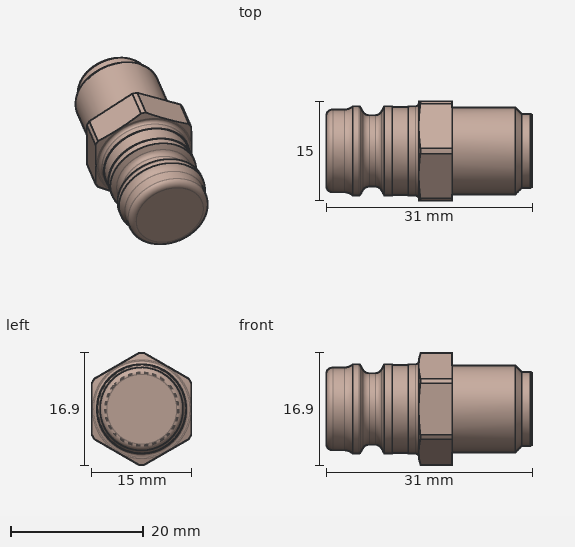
import cadquery as cq
import math

length = 31.0
nose_end = 2.73
groove_floor_start = 6.48
groove_floor_end = 7.38
relief_start = 9.98
relief_end = 12.4
hex_start = 13.95
hex_end = 18.97
tail_start = 29.45

nose_radius = 12.5 / 2
collar_radius = 13.5 / 2
groove_radius = 10.8 / 2
relief_radius = 13.3 / 2
body_radius = 13.15 / 2
tail_radius = 11.2 / 2

nose_round = 1.0
nose_blend = 2.0
collar_round = 0.3
groove_round = 1.1
groove_wall_angle = math.radians(60)
hex_root_round = 0.5
tail_chamfer_length = 0.28
tail_chamfer_depth = 0.15

across_flats = 15.0
across_corners = 16.9
hex_face_radius = 7.45
hex_chamfer_angle = math.radians(15)


def arc_point(center, radius, angle):
    """Point on a circle in the (axial, radial) plane."""
    return center[0] + radius * math.cos(angle), center[1] + radius * math.sin(angle)


def revolve_profile(profile):
    return profile.close().revolve(360, (0, 0, 0), (1, 0, 0))


def make_turned_body():
    """Revolved plug with its nose, retaining groove, collar and tail."""
    nose_center = (nose_round, nose_radius - nose_round)

    blend_center = (nose_end, nose_radius + nose_blend)
    blend_angle = math.acos((blend_center[1] - collar_radius) / nose_blend)
    down = -math.pi / 2
    blend_mid = arc_point(blend_center, nose_blend, down + blend_angle / 2)
    blend_end = arc_point(blend_center, nose_blend, down + blend_angle)

    left_center = (groove_floor_start, groove_radius + groove_round)
    right_center = (groove_floor_end, groove_radius + groove_round)
    left_wall_foot = arc_point(left_center, groove_round, down - groove_wall_angle)
    left_round_mid = arc_point(left_center, groove_round, down - groove_wall_angle / 2)
    right_round_mid = arc_point(right_center, groove_round, down + groove_wall_angle / 2)
    right_wall_foot = arc_point(right_center, groove_round, down + groove_wall_angle)
    wall_run = (collar_radius - right_wall_foot[1]) / math.tan(groove_wall_angle)
    groove_start = left_wall_foot[0] - wall_run
    groove_end = right_wall_foot[0] + wall_run

    rim_start = groove_start - collar_round * math.tan(groove_wall_angle / 2)
    rim_center = (rim_start, collar_radius - collar_round)
    rim_mid = arc_point(rim_center, collar_round, math.pi / 2 - groove_wall_angle / 2)
    rim_end = arc_point(rim_center, collar_round, math.pi / 2 - groove_wall_angle)

    root_center = (hex_start - hex_root_round, collar_radius + hex_root_round)
    shoulder_start = tail_start - (body_radius - tail_radius)

    profile = (
        cq.Workplane("XY")
        .moveTo(0, 0)
        .lineTo(0, nose_center[1])
        .threePointArc(arc_point(nose_center, nose_round, 0.75 * math.pi), (nose_round, nose_radius))
        .lineTo(nose_end, nose_radius)
        .threePointArc(blend_mid, blend_end)
        .lineTo(rim_start, collar_radius)
        .threePointArc(rim_mid, rim_end)
        .lineTo(*left_wall_foot)
        .threePointArc(left_round_mid, (groove_floor_start, groove_radius))
        .lineTo(groove_floor_end, groove_radius)
        .threePointArc(right_round_mid, right_wall_foot)
        .lineTo(groove_end, collar_radius)
        .lineTo(relief_start, collar_radius)
        .lineTo(relief_start, relief_radius)
        .lineTo(relief_end, relief_radius)
        .lineTo(relief_end, collar_radius)
        .lineTo(root_center[0], collar_radius)
        .threePointArc(arc_point(root_center, hex_root_round, down / 2), (hex_start, root_center[1]))
        .lineTo(hex_end, root_center[1])
        .lineTo(hex_end, body_radius)
        .lineTo(shoulder_start, body_radius)
        .lineTo(tail_start, tail_radius)
        .lineTo(length - tail_chamfer_length, tail_radius)
        .lineTo(length, tail_radius - tail_chamfer_depth)
        .lineTo(length, 0)
    )
    return revolve_profile(profile)


def make_hexagon():
    """Wrench hexagon with corners toward +Z and -Z, turned on its rim and nose-side face."""
    prism = (
        cq.Workplane("YZ", origin=(hex_start, 0, 0))
        .polygon(6, across_flats, circumscribed=True)
        .extrude(hex_end - hex_start)
    )
    rim_radius = across_corners / 2
    chamfer_run = (rim_radius - hex_face_radius) * math.tan(hex_chamfer_angle)
    turned_blank = revolve_profile(
        cq.Workplane("XY")
        .moveTo(hex_start, 0)
        .lineTo(hex_start, hex_face_radius)
        .lineTo(hex_start + chamfer_run, rim_radius)
        .lineTo(hex_end, rim_radius)
        .lineTo(hex_end, 0)
    )
    return prism.intersect(turned_blank)


result = make_turned_body().union(make_hexagon())